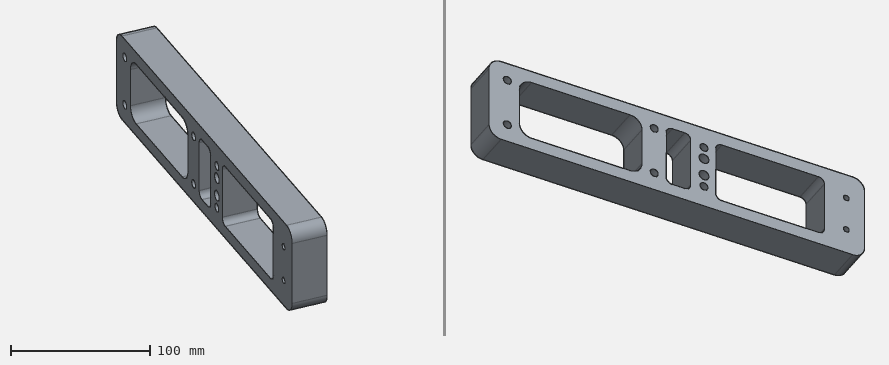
import cadquery as cq

length = 307.0
thickness = 27.5
height = 70.0
corner_radius = 9.8

window_height = 50.0
left_window = (-78.5, 100.0, 9.8)
middle_slot = (1.2, 20.0, 5.0)
right_window = (76.0, 88.7, 5.0)

window_screw_diameter = 6.5
window_screw_height = 20.0
window_screw_spacing = 120.0
left_window_x = left_window[0]
center_hole_x = 22.0
hole_pairs = [
    (left_window_x - window_screw_spacing / 2, window_screw_height, window_screw_diameter),
    (left_window_x + window_screw_spacing / 2, window_screw_height, window_screw_diameter),
    (center_hole_x, 17.5, 6.5),
    (center_hole_x, 7.5, 8.0),
    (138.5, 14.0, 4.5),
]


def rounded_block(center_x, width, block_height, radius):
    """Block through the full thickness with rounded corners in the XZ plane."""
    return (
        cq.Workplane("XY")
        .box(width, thickness, block_height)
        .edges("|Y")
        .fillet(radius)
        .translate((center_x, 0, 0))
    )


def hole_pair(center_x, offset_z, diameter):
    """Two through cylinders mirrored about the horizontal mid-plane."""
    return (
        cq.Workplane("XZ")
        .pushPoints([(center_x, offset_z), (center_x, -offset_z)])
        .circle(diameter / 2)
        .extrude(thickness / 2, both=True)
    )


result = rounded_block(0, length, height, corner_radius)

for window_x, window_width, window_radius in (left_window, middle_slot, right_window):
    result = result.cut(rounded_block(window_x, window_width, window_height, window_radius))

for hole_x, hole_z, hole_diameter in hole_pairs:
    result = result.cut(hole_pair(hole_x, hole_z, hole_diameter))